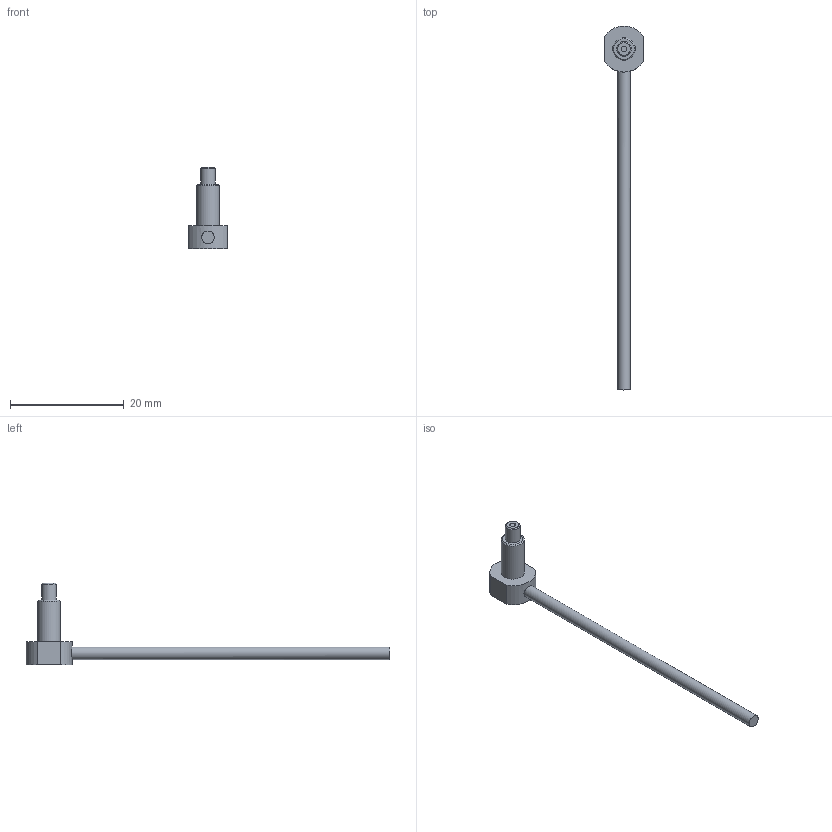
import cadquery as cq


body_radius = 4.05
body_width = 7.0
body_height = 4.1

stem_diameter = 4.0
stem_top = 11.4
stem_chamfer = 0.2
tip_diameter = 2.6
tip_top = 14.4
tip_chamfer = 0.2

recess_diameter = 1.0
recess_depth = 0.1

cable_diameter = 2.2
cable_end = 60.0
cable_height = body_height / 2


def make_body():
    """Disc trimmed to the distance across its flats."""
    disc = cq.Workplane("XY").circle(body_radius).extrude(body_height)
    trim = cq.Workplane("XY").rect(body_width, 2 * body_radius).extrude(body_height)
    return disc.intersect(trim)


def make_post(diameter, top, chamfer):
    """Round post from the base plane up to `top`, chamfered at its upper rim."""
    post = cq.Workplane("XY").circle(diameter / 2).extrude(top)
    return post.faces(">Z").chamfer(chamfer)


def make_cable():
    """Straight round cable from the stem axis out to its cut end."""
    axis_start = cq.Workplane("XZ", origin=(0, 0, cable_height))
    return axis_start.circle(cable_diameter / 2).extrude(cable_end)


def make_recess():
    """Shallow recess in the end of the tip."""
    top_plane = cq.Workplane("XY", origin=(0, 0, tip_top))
    return top_plane.circle(recess_diameter / 2).extrude(-recess_depth)


stem = make_post(stem_diameter, stem_top, stem_chamfer)
tip = make_post(tip_diameter, tip_top, tip_chamfer)
result = make_body().union(stem).union(tip).union(make_cable()).cut(make_recess())